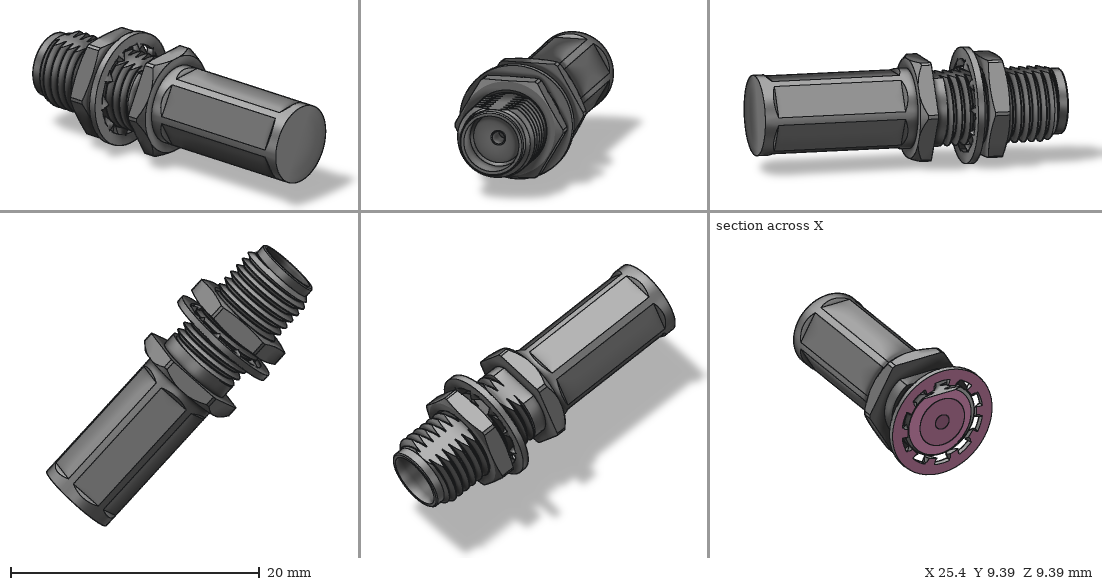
import cadquery as cq
import math


rim_radius = 2.65
rim_length = 0.8
rim_chamfer = 0.1
thread_radius = 3.18
thread_root_radius = 2.7
thread_pitch = 0.705
thread_flank_half_angle = 30.0
thread_phase = 24.0
thread_end = 10.23
collar_end = 11.38
flange_end = 12.72
flange_across_flats = 8.05
flange_corner_radius = 4.55
flange_chamfer = 0.5
key_flat_height = 2.65
bore_radius = 2.3
bore_depth = 1.9
bore_seat_radius = 2.05
bore_seat = bore_depth + bore_radius - bore_seat_radius

contact_radius = 0.6
socket_radius = 0.5
socket_depth = 2.04

nut_start = 5.25
nut_end = 6.8
nut_across_flats = 7.95
nut_corner_radius = 4.5
nut_chamfer_length = 0.18
nut_chamfer_height = 0.6
nut_minor_radius = 2.75
nut_countersink_radius = 3.2

washer_start = 7.53
washer_thickness = 0.55
washer_outer_radius = 4.695
washer_inner_radius = 3.77
tooth_count = 10
tooth_width = 0.97
tooth_tip_radius = 3.2
tooth_twist = 40.0
tooth_root_overlap = 0.1

ferrule_end = 25.45
ferrule_radius = 3.245
ferrule_across_flats = 5.9
flat_start = 13.77
flat_end = 24.33

HEX_SIDES = 6


def rod(radius, start, end):
    """Solid cylinder along X."""
    return cq.Workplane("YZ", origin=(start, 0, 0)).circle(radius).extrude(end - start)


def revolved(profile):
    """Solid of revolution about X from (x, radius) points."""
    return cq.Workplane("XY").polyline(profile).close().revolve(360, (0, 0, 0), (1, 0, 0))


def hexagon(across_flats, start, end):
    """Hexagonal prism along X with two flats facing +Z and -Z."""
    corner_diameter = across_flats / math.cos(math.pi / HEX_SIDES)
    return cq.Workplane("YZ", origin=(start, 0, 0)).polygon(HEX_SIDES, corner_diameter).extrude(end - start)


def thread_groove_turn():
    """One right-handed turn of a V groove that leaves equal flats at crest and root."""
    depth = thread_radius - thread_root_radius
    flank_run = depth * math.tan(math.radians(thread_flank_half_angle))
    half_root = (thread_pitch - 2 * flank_run) / 4
    half_mouth = half_root + flank_run
    clearance = 0.03
    half_top = half_mouth + clearance * math.tan(math.radians(thread_flank_half_angle))
    helix = cq.Wire.makeHelix(thread_pitch, thread_pitch, thread_root_radius)
    profile = cq.Workplane("XZ").polyline([
        (thread_root_radius, -half_root),
        (thread_radius + clearance, -half_top),
        (thread_radius + clearance, half_top),
        (thread_root_radius, half_root),
    ]).close()
    groove = profile.sweep(cq.Workplane(helix), isFrenet=True)
    return groove.rotate((0, 0, 0), (0, 0, 1), thread_phase).rotate((0, 0, 0), (0, 1, 0), 90)


def make_thread():
    """Full round threaded length with its lead-in cone."""
    lead_in = thread_radius - rim_radius
    blank = revolved([
        (rim_length, 0),
        (rim_length, rim_radius),
        (rim_length + lead_in, thread_radius),
        (thread_end, thread_radius),
        (thread_end, 0),
    ])
    groove = thread_groove_turn()
    turns = math.ceil((thread_end - rim_length) / thread_pitch) + 1
    for i in range(turns):
        blank = blank.cut(groove.translate((rim_length + (i - 1) * thread_pitch, 0, 0)))
    return blank


def shell_bore():
    """Coupling bore that narrows to the insulator bore."""
    return revolved([
        (0, 0),
        (0, bore_radius),
        (bore_depth, bore_radius),
        (bore_seat, bore_seat_radius),
        (flange_end, bore_seat_radius),
        (flange_end, 0),
    ])


def make_shell(thread):
    rim = rod(rim_radius, 0, rim_length).faces("<X").chamfer(rim_chamfer)
    collar = rod(thread_radius, thread_end, collar_end)
    barrel = rim.union(thread).union(collar)
    flat_length = collar_end - rim_length
    key_flat = cq.Workplane("XY").box(flat_length, 10.18, 2.55, centered=(False, True, False)).translate(
        (rim_length, 0, key_flat_height)
    )
    barrel = barrel.cut(key_flat)
    envelope = rod(flange_corner_radius, collar_end, flange_end).faces(">X").chamfer(flange_chamfer)
    flange = hexagon(flange_across_flats, collar_end, flange_end).intersect(envelope)
    return barrel.union(flange).cut(shell_bore())


def make_insulator():
    return rod(bore_seat_radius, bore_seat, flange_end).cut(rod(contact_radius, bore_seat, flange_end))


def make_contact():
    """Pin socket, flush with the front face of the insulator."""
    socket = rod(socket_radius, bore_seat, bore_seat + socket_depth)
    return rod(contact_radius, bore_seat, flange_end).cut(socket)


def make_nut(thread):
    envelope = rod(nut_corner_radius, nut_start, nut_end).faces("<X or >X").chamfer(
        nut_chamfer_length, nut_chamfer_height
    )
    blank = hexagon(nut_across_flats, nut_start, nut_end).intersect(envelope)
    countersink = nut_countersink_radius - nut_minor_radius
    hole = revolved([
        (nut_start, 0),
        (nut_start, nut_countersink_radius),
        (nut_start + countersink, nut_minor_radius),
        (nut_end - countersink, nut_minor_radius),
        (nut_end, nut_countersink_radius),
        (nut_end, 0),
    ])
    return blank.cut(hole).cut(thread)


def washer_tooth():
    """Tooth pointing from the ring to the axis along +Z, twisted about its own length."""
    tooth_length = washer_inner_radius + tooth_root_overlap - tooth_tip_radius
    return (
        cq.Workplane("XY", origin=(0, 0, tooth_tip_radius))
        .transformed(rotate=(0, 0, tooth_twist))
        .rect(washer_thickness, tooth_width)
        .twistExtrude(tooth_length, -tooth_twist)
    )


def make_washer():
    ring = rod(washer_outer_radius, 0, washer_thickness).cut(rod(washer_inner_radius, 0, washer_thickness))
    tooth = washer_tooth().translate((washer_thickness / 2, 0, 0))
    for i in range(tooth_count):
        angle = (i + 0.5) * 360 / tooth_count
        ring = ring.union(tooth.rotate((0, 0, 0), (1, 0, 0), angle))
    return ring.translate((washer_start, 0, 0))


def make_ferrule():
    barrel = rod(ferrule_radius, flange_end, ferrule_end)
    depth = ferrule_radius - ferrule_across_flats / 2
    inner = ferrule_across_flats / 2
    flat_cut = (
        cq.Workplane("XZ")
        .polyline([
            (flat_start, inner),
            (flat_end, inner),
            (flat_end + depth, ferrule_radius),
            (flat_start - depth, ferrule_radius),
        ]).close().extrude(ferrule_radius, both=True)
    )
    for i in range(HEX_SIDES):
        barrel = barrel.cut(flat_cut.rotate((0, 0, 0), (1, 0, 0), i * 360 / HEX_SIDES))
    return barrel


thread = make_thread()
shell = make_shell(thread)
insulator = make_insulator()
contact = make_contact()
nut = make_nut(thread)
washer = make_washer()
ferrule = make_ferrule()

result = cq.Compound.makeCompound([
    shell.val(), insulator.val(), contact.val(), nut.val(), washer.val(), ferrule.val(),
])